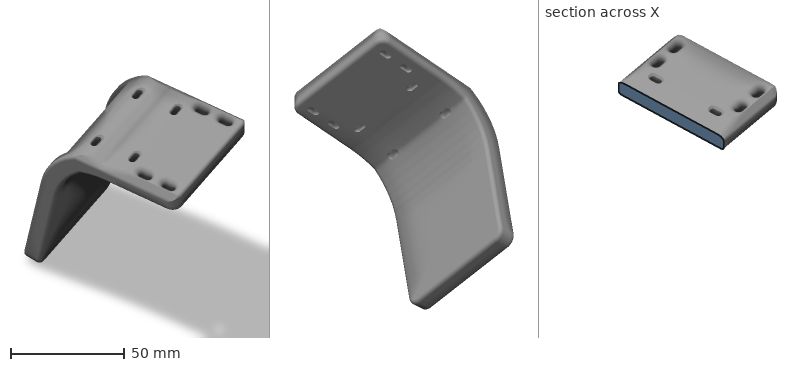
import cadquery as cq
import math


width = 60.0
thickness = 9.0
lean = math.radians(10)
leg_length = 55.1

bend_radius = 38.0
bend_center = (-33.84, -34.74)
crest_radius = 16.0
crest_start = math.radians(34)
crest_tilt = math.radians(4)
ramp_tilt = math.radians(6.5)
crest_round = 11.0

inner_radius = 40.0
inner_plate_x = -36.8
inner_kink = (-50.4, -11.4)
kink_round = 4.0
inner_leg_z = -34.4

corner_radius = 5.0
outer_round = 1.5
inner_round = 1.8

valley_x = -39.9
valley_depth = 1.5
ramp_top_x = -29.1
valley_round = 4.4
bevel = 3.0
bevel_round = 2.0
ramp_round = 5.0

pocket_depth = 3.5
pocket_inset = 4.0
pocket_floor_width = 40.3
pocket_end_gap = 4.0
pocket_top_x = -60.0

slot_length = 6.0
slot_width = 3.0
cross_slot_y = 17.0
cross_slots = ((-50.1, -1.0), (-30.1, -0.1))
cross_slot_bevel = 0.9
edge_slot_y = 23.4
edge_slot_x = (-20.4, -8.05)
edge_slot_round = 3.0

margin = 10.0

leg_down = (-math.sin(lean), -math.cos(lean))
leg_inward = (math.cos(lean), -math.sin(lean))


def move(point, direction, distance):
    """Point in the XZ plane, moved along a direction."""
    return (point[0] + direction[0] * distance, point[1] + direction[1] * distance)


def around(center, radius, from_vertical):
    """Point on an arc in the XZ plane; the angle is turned from +Z towards -X."""
    return (
        center[0] - radius * math.sin(from_vertical),
        center[1] + radius * math.cos(from_vertical),
    )


bend_low_angle = math.pi / 2 - lean
bend_low = around(bend_center, bend_radius, bend_low_angle)
bend_high = around(bend_center, bend_radius, crest_start)
crest_center = around(bend_center, bend_radius - crest_radius, crest_start)
crest = around(crest_center, crest_radius, crest_tilt)
crest_round_center = around(crest_center, crest_radius - crest_round, crest_tilt)
crest_top = around(crest_round_center, crest_round, 0)
ramp_crest = around(crest_round_center, crest_round, -ramp_tilt)
leg_tip = move(bend_low, leg_down, leg_length)
inner_line = move(bend_low, leg_inward, thickness)
inner_leg = move(inner_line, leg_down, (inner_line[1] - inner_leg_z) / math.cos(lean))


def prism(outline, depth):
    """Closed XZ outline extruded evenly to both sides of the middle plane."""
    return outline.close().extrude(depth / 2, both=True)


def nearest(x, y, z):
    return cq.selectors.NearestToPointSelector((x, y, z))


def bent_plate():
    outline = (
        cq.Workplane("XZ")
        .moveTo(0, -thickness)
        .lineTo(0, 0)
        .lineTo(ramp_top_x, 0)
        .lineTo(*ramp_crest)
        .threePointArc(crest_top, crest)
        .threePointArc(
            around(crest_center, crest_radius, (crest_tilt + crest_start) / 2), bend_high
        )
        .threePointArc(
            around(bend_center, bend_radius, (crest_start + bend_low_angle) / 2), bend_low
        )
        .lineTo(*leg_tip)
        .lineTo(*move(leg_tip, leg_inward, thickness))
        .lineTo(*inner_leg)
        .radiusArc(inner_kink, inner_radius)
        .radiusArc((inner_plate_x, -thickness), inner_radius)
    )
    body = prism(outline, width)
    return body.edges(nearest(inner_kink[0], 0, inner_kink[1])).fillet(kink_round)


def round_edges(body):
    """Round the four corners, then the whole rim of the outer and inner faces."""
    body = body.edges("|Z").fillet(corner_radius)
    tip_x, tip_z = move(leg_tip, leg_inward, thickness / 2)
    for side in (-1, 1):
        body = body.edges(nearest(tip_x, side * width / 2, tip_z)).fillet(corner_radius)

    inner_tip = move(leg_tip, leg_inward, thickness)
    for tip, end_z, radius in (
        (inner_tip, -thickness, inner_round),
        (leg_tip, 0, outer_round),
    ):
        tip_edge = nearest(tip[0], 0, tip[1])
        end_edge = nearest(0, 0, end_z)
        body = body.edges(tip_edge + end_edge).fillet(radius)
    return body


def beveled_block(floor, top, extra):
    """Long block along X with a 45 degree bevel on each side, wider below it by the extra."""
    half = width / 2 + extra
    bevel_foot = -bevel - extra
    top_half = width / 2 - bevel - top
    return (
        cq.Workplane("YZ")
        .polyline(
            [
                (-half, floor),
                (half, floor),
                (half, bevel_foot),
                (top_half, top),
                (-top_half, top),
                (-half, bevel_foot),
            ]
        )
        .close()
        .extrude(2 * leg_tip[0], both=True)
    )


def valley_block():
    """Everything below the valley, with its long edges beveled and rounded."""
    floor = leg_tip[1] - margin
    plate_slope = valley_depth / (ramp_top_x - valley_x)
    bend_slope = (valley_depth + ramp_crest[1]) / (ramp_crest[0] - valley_x)
    plate_z = -valley_depth + plate_slope * (margin - valley_x)
    far_x = leg_tip[0] - margin
    far_z = -valley_depth + bend_slope * (far_x - valley_x)
    outline = (
        cq.Workplane("XZ")
        .moveTo(margin, floor)
        .lineTo(margin, plate_z)
        .lineTo(valley_x, -valley_depth)
        .lineTo(far_x, far_z)
        .lineTo(far_x, floor)
    )
    block = prism(outline, width + margin)
    block = block.edges(nearest(valley_x, 0, -valley_depth)).fillet(valley_round)
    block = block.intersect(beveled_block(floor, plate_z + margin, margin))

    edge_x = (ramp_top_x + valley_x) / 2
    edge_z = -valley_depth / 2
    edge_y = width / 2 - bevel - edge_z
    for side in (-1, 1):
        block = block.edges(nearest(edge_x, side * edge_y, edge_z)).fillet(ramp_round)
    return block


def cut_valley(body):
    sides = beveled_block(leg_tip[1] - margin, margin, 0)
    for side in (-1, 1):
        sides = sides.edges(nearest(0, side * width / 2, -bevel)).fillet(bevel_round)
    return body.intersect(sides).intersect(valley_block())


def pocket_section():
    """Wall section at the low end of the bend, local y pointing out of the leg."""
    floor_low = move(inner_leg, leg_inward, pocket_depth - thickness)
    plane = cq.Plane(
        origin=(floor_low[0], 0, floor_low[1]),
        xDir=(0, -1, 0),
        normal=(leg_down[0], 0, leg_down[1]),
    )
    rise = pocket_depth + margin
    floor_half = pocket_floor_width / 2
    top_half = floor_half + pocket_inset / pocket_depth * rise
    return (
        cq.Workplane(plane)
        .polyline([(-floor_half, 0), (floor_half, 0), (top_half, rise), (-top_half, rise)])
        .close()
    )


def pocket():
    """Pocket with leaning walls that follows the leg and the bend."""
    floor_radius = inner_radius + thickness - pocket_depth
    straight = pocket_section().extrude(leg_length)
    bent = pocket_section().revolve(90, (0, -floor_radius, 0), (-1, -floor_radius, 0))
    channel = straight.union(bent)

    rim_low = move(leg_tip, leg_down, -pocket_end_gap)
    depth_low = move(move(rim_low, leg_down, -pocket_inset), leg_inward, pocket_depth)
    wall = (rim_low[0] - depth_low[0], rim_low[1] - depth_low[1])
    reach = 3.0
    ends = (
        cq.Workplane("XZ")
        .moveTo(*move(depth_low, wall, reach))
        .lineTo(*move(depth_low, wall, -reach))
        .lineTo(pocket_top_x, depth_low[1])
        .lineTo(pocket_top_x, margin)
        .lineTo(leg_tip[0] - margin, margin)
    )
    return channel.intersect(prism(ends, 2 * width))


def cross_slot(x, y, surface_z):
    """Beveled slot along Y through the plate."""
    hole = (
        cq.Workplane("XY")
        .center(x, y)
        .slot2D(slot_length, slot_width, 90)
        .extrude(4 * thickness, both=True)
    )
    funnel = (
        cq.Workplane("XY", origin=(x, y, surface_z - cross_slot_bevel))
        .slot2D(slot_length, slot_width, 90)
        .extrude(2 * cross_slot_bevel, taper=-45)
    )
    return hole.union(funnel)


def edge_slot(x, y):
    """Slot along X through the plate, with a large rounded mouth."""
    mouth_length = slot_length + 2 * edge_slot_round
    mouth_width = slot_width + 2 * edge_slot_round
    size = 2 * mouth_length
    block = cq.Workplane("XY").box(size, size, 2 * thickness).translate((0, 0, -thickness))
    slot = cq.Workplane("XY").slot2D(slot_length, slot_width).extrude(-2 * thickness)
    around_slot = block.cut(slot)
    around_slot = around_slot.faces(">Z").edges(
        cq.selectors.BoxSelector(
            (-mouth_length / 2, -mouth_width / 2, -1), (mouth_length / 2, mouth_width / 2, 1)
        )
    ).fillet(edge_slot_round)
    return block.cut(around_slot).translate((x, y, 0))


def build():
    body = bent_plate().cut(pocket())
    body = cut_valley(round_edges(body))
    for side in (-1, 1):
        for x, surface_z in cross_slots:
            body = body.cut(cross_slot(x, side * cross_slot_y, surface_z))
        for x in edge_slot_x:
            body = body.cut(edge_slot(x, side * edge_slot_y))
    return body


result = build()